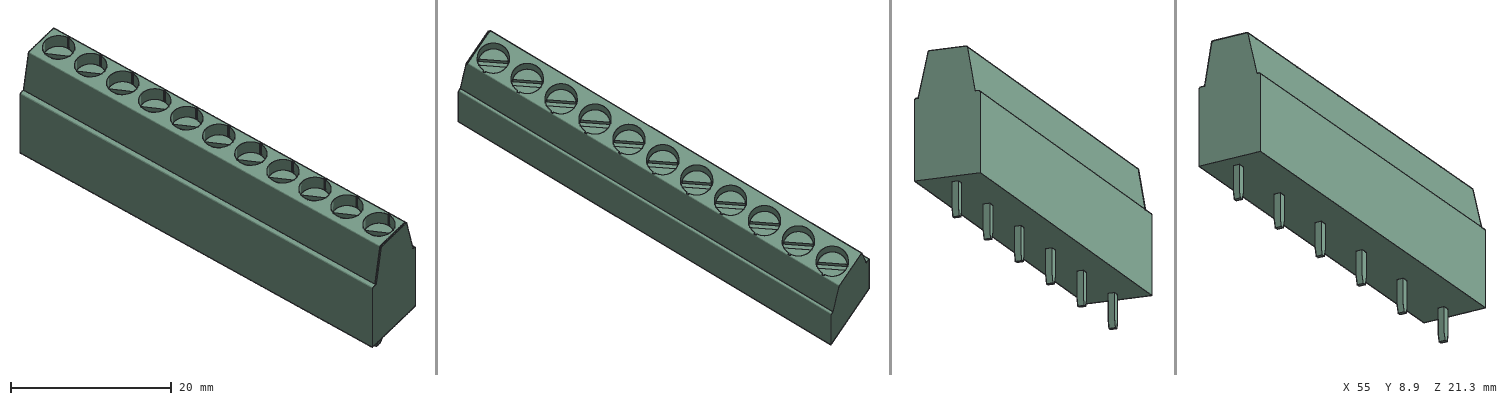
import cadquery as cq

pole_count = 11
length = 55.0
pole_pitch = length / pole_count
total_height = 21.3
body_height = 16.8
pin_length = total_height - body_height

depth = 8.9
shoulder_height = 10.8
front_ledge = 0.7
back_ledge = 0.5
top_front = 1.75
top_back = 7.05
front_shoulder_radius = 0.35
back_shoulder_radius = 0.3
top_edge_radius = 0.3

relief_length = 0.15
relief_depth = 0.1

well_diameter = 4.0
well_depth = 1.8
well_y = 4.7
head_diameter = 3.8
head_height = 0.8
slot_width = 0.8
slot_angle = 28
groove_width = 0.3
groove_depth = 0.15

poles_per_pin = 2
pin_width = 1.0
pin_thickness = 0.9
pin_y = 4.25
tip_length = 1.0
tip_width = 0.5


def pole_x(index):
    """X position of the centre of a pole."""
    return (index + 0.5) * pole_pitch


def make_housing():
    """Stepped and tapered bar with rounded shoulder and top edges."""
    section = [
        (0, 0),
        (depth, 0),
        (depth, shoulder_height),
        (depth - back_ledge, shoulder_height),
        (top_back, body_height),
        (top_front, body_height),
        (front_ledge, shoulder_height),
        (0, shoulder_height),
    ]
    housing = cq.Workplane("YZ").polyline(section).close().extrude(length)
    housing = housing.edges("|X and >Z").fillet(top_edge_radius)
    housing = housing.faces("<Y").edges("|X and >Z").fillet(front_shoulder_radius)
    return housing.faces(">Y").edges("|X and >Z").fillet(back_shoulder_radius)


def make_end_relief(housing):
    """Thin skin to remove from the top and front taper at the +X end."""
    end_block = cq.Workplane("XY").box(
        relief_length, depth, body_height - shoulder_height, centered=False
    )
    end_block = end_block.translate((length - relief_length, 0, shoulder_height))
    core = housing.translate((0, relief_depth, -relief_depth))
    return end_block.cut(core)


def make_well():
    """Void of one screw well, centred on the Z axis with its rim at z = 0.

    The screw head stands in the well with a narrow gap around it, and a
    vertical groove runs down the back of the well wall.
    """
    bottom = -(well_depth + head_height)
    bore = cq.Workplane("XY").workplane(offset=bottom)
    void = bore.circle(well_diameter / 2).extrude(-bottom)

    slot = (
        bore.transformed(rotate=(0, 0, slot_angle))
        .rect(well_diameter, slot_width)
        .extrude(head_height)
    )
    head = bore.circle(head_diameter / 2).extrude(head_height).cut(slot)

    groove = (
        cq.Workplane("XY", origin=(0, well_diameter / 2, -well_depth))
        .rect(groove_width, 2 * groove_depth)
        .extrude(well_depth)
    )
    return void.cut(head).union(groove)


def make_pin(x):
    """Rectangular solder pin whose width tapers at the tip."""
    half_width = pin_width / 2
    half_tip = tip_width / 2
    taper_start = tip_length - pin_length
    outline = [
        (x - half_width, 0),
        (x - half_width, taper_start),
        (x - half_tip, -pin_length),
        (x + half_tip, -pin_length),
        (x + half_width, taper_start),
        (x + half_width, 0),
    ]
    return (
        cq.Workplane("XZ", origin=(0, pin_y + pin_thickness / 2, 0))
        .polyline(outline)
        .close()
        .extrude(pin_thickness)
    )


result = make_housing()
result = result.cut(make_end_relief(result))

well = make_well()
for index in range(pole_count):
    result = result.cut(well.translate((pole_x(index), well_y, body_height)))

for index in range(0, pole_count, poles_per_pin):
    result = result.union(make_pin(pole_x(index)))